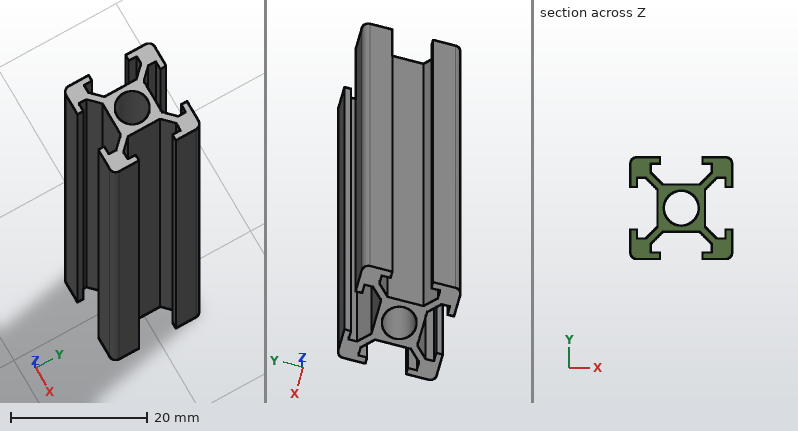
import cadquery as cq

side = 15.0
length = 100.0
corner_radius = 1.0

slot_mouth_width = 6.2
slot_inner_width = 8.9
lip_thickness = 1.0

core_width = 7.0
bore_diameter = 5.1
web_thickness = 1.1

half_side = side / 2
half_mouth = slot_mouth_width / 2
half_inner = slot_inner_width / 2
half_core = core_width / 2
lip_inner_face = half_side - lip_thickness

web_offset = web_thickness / 2**0.5
shoulder_height = half_inner + web_offset
half_floor = half_core - web_offset


def square_bar():
    bar = cq.Workplane("XY").rect(side, side).extrude(length)
    return bar.edges("|Z").fillet(corner_radius)


def t_slot(angle):
    """T-slot along the full length, opening toward +Y before it is turned about Z."""
    right_half = [
        (half_floor, half_core),
        (half_inner, shoulder_height),
        (half_inner, lip_inner_face),
        (half_mouth, lip_inner_face),
        (half_mouth, half_side),
    ]
    left_half = [(-x, y) for x, y in reversed(right_half)]
    slot = cq.Workplane("XY").polyline(right_half + left_half).close().extrude(length)
    return slot.rotate((0, 0, 0), (0, 0, 1), angle)


result = square_bar()
for slot_angle in (0, 90, 180, 270):
    result = result.cut(t_slot(slot_angle))

result = result.faces(">Z").workplane(origin=(0, 0, length)).hole(bore_diameter)